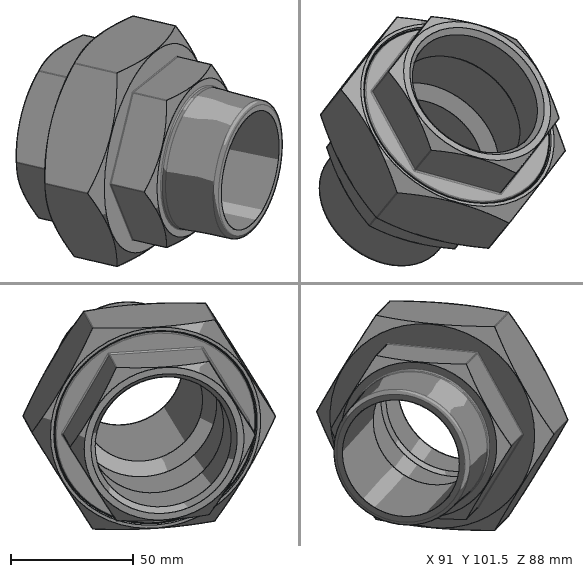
import cadquery as cq
import math


nut_start = 18.9
nut_end = 46.7
male_hex_end = 65.6
collar_end = 67.6
total_length = 91.0

nut_across_flats = 88.0
body_across_flats = 67.0
chamfer_clearance = 0.4
chamfer_slope = math.tan(math.radians(30))
hex_edge_radius = 0.37
female_base_radius = 0.6
male_base_radius = 0.3

groove_outer_diameter = 84.0
flange_diameter = 83.5
flange_face_diameter = 82.6
groove_mouth_diameter = 84.9
groove_depth = 1.0

collar_diameter = 59.6
male_taper = 1 / 16
male_tip_radius = 1.6
collar_root_radius = 0.5

mouth_diameter = 60.9
socket_diameter = 56.6
socket_depth = 18.9
relief_diameter = 60.0
relief_end = 42.6
outlet_diameter = 50.0


def revolve_about_x(profile):
    """Revolve a closed (x, radius) profile about the X axis."""
    return profile.close().revolve(360, (0, 0, 0), (1, 0, 0))


def chamfer_envelope(start, end, across_flats, chamfer_start, chamfer_end):
    """Round blank whose conical ends trim the corners of a hexagon."""
    face_radius = (across_flats - chamfer_clearance) / 2
    outer_radius = across_flats / math.sqrt(3) + 1
    cone_length = (outer_radius - face_radius) * chamfer_slope
    profile = cq.Workplane("XY").moveTo(start, 0)
    if chamfer_start:
        profile = profile.lineTo(start, face_radius).lineTo(start + cone_length, outer_radius)
    else:
        profile = profile.lineTo(start, outer_radius)
    if chamfer_end:
        profile = profile.lineTo(end - cone_length, outer_radius).lineTo(end, face_radius)
    else:
        profile = profile.lineTo(end, outer_radius)
    return revolve_about_x(profile.lineTo(end, 0))


def hex_prism(start, end, across_flats):
    """Hexagonal prism along X with softened long edges and two corners on the Y axis."""
    across_corners = 2 * across_flats / math.sqrt(3)
    outline = cq.Workplane("YZ", origin=(start, 0, 0)).polygon(6, across_corners)
    return outline.extrude(end - start).edges("|X").fillet(hex_edge_radius)


def make_nut():
    nut = hex_prism(nut_start, nut_end, nut_across_flats)
    return nut.intersect(chamfer_envelope(nut_start, nut_end, nut_across_flats, True, True))


def cut_flange_groove(solid):
    """Cut the bevelled ring groove that sets the flange apart from the nut."""
    bevel = (groove_mouth_diameter - groove_outer_diameter) / 2
    flange_round = (flange_diameter - flange_face_diameter) / 2
    groove = (
        cq.Workplane("XY")
        .moveTo(nut_start, flange_face_diameter / 2)
        .radiusArc((nut_start + flange_round, flange_diameter / 2), flange_round)
        .lineTo(nut_start + groove_depth, flange_diameter / 2)
        .lineTo(nut_start + groove_depth, groove_outer_diameter / 2)
        .lineTo(nut_start + bevel, groove_outer_diameter / 2)
        .lineTo(nut_start, groove_mouth_diameter / 2)
    )
    return solid.cut(revolve_about_x(groove))


def add_body_hex(solid, start, end, base, base_radius):
    """Join a hexagon to the nut and fillet its base, the end at X = base."""
    joined = solid.union(hex_prism(start, end, body_across_flats))
    margin = 0.01
    reach = body_across_flats / math.sqrt(3)
    base_edges = cq.selectors.BoxSelector(
        (base - margin, -reach, -reach),
        (base + margin, reach, reach),
        boundingbox=True,
    )
    return joined.edges(base_edges).fillet(base_radius)


def make_male_end():
    collar_radius = collar_diameter / 2
    tip_radius = collar_radius - (total_length - collar_end) * male_taper / 2
    root_top = collar_radius + collar_root_radius
    profile = (
        cq.Workplane("XY")
        .moveTo(nut_end, 0)
        .lineTo(nut_end, root_top)
        .lineTo(male_hex_end, root_top)
        .radiusArc((male_hex_end + collar_root_radius, collar_radius), -collar_root_radius)
        .lineTo(collar_end, collar_radius)
        .lineTo(total_length, tip_radius)
        .lineTo(total_length, 0)
    )
    return revolve_about_x(profile).faces(">X").edges().fillet(male_tip_radius)


def make_bore():
    """Chamfered socket, wider relief behind it, then the outlet; all steps at 45 degrees."""
    mouth_chamfer = (mouth_diameter - socket_diameter) / 2
    relief_flare = (relief_diameter - socket_diameter) / 2
    outlet_cone = (relief_diameter - outlet_diameter) / 2
    profile = (
        cq.Workplane("XY")
        .lineTo(0, mouth_diameter / 2)
        .lineTo(mouth_chamfer, socket_diameter / 2)
        .lineTo(socket_depth, socket_diameter / 2)
        .lineTo(socket_depth + relief_flare, relief_diameter / 2)
        .lineTo(relief_end, relief_diameter / 2)
        .lineTo(relief_end + outlet_cone, outlet_diameter / 2)
        .lineTo(total_length, outlet_diameter / 2)
        .lineTo(total_length, 0)
    )
    return revolve_about_x(profile)


def trim_body_corners(solid):
    """Cone the free ends of both body hexagons, leaving the nut untouched."""
    female_blank = chamfer_envelope(0, nut_start, body_across_flats, True, False)
    nut_blank = chamfer_envelope(nut_start, nut_end, nut_across_flats, False, False)
    male_blank = chamfer_envelope(nut_end, male_hex_end, body_across_flats, False, True)
    return solid.intersect(female_blank.union(nut_blank).union(male_blank))


outer = make_nut()
outer = add_body_hex(outer, 0, nut_start, nut_start, female_base_radius)
outer = add_body_hex(outer, nut_end, male_hex_end, nut_end, male_base_radius)
outer = trim_body_corners(outer)
outer = cut_flange_groove(outer)
result = outer.union(make_male_end()).cut(make_bore())